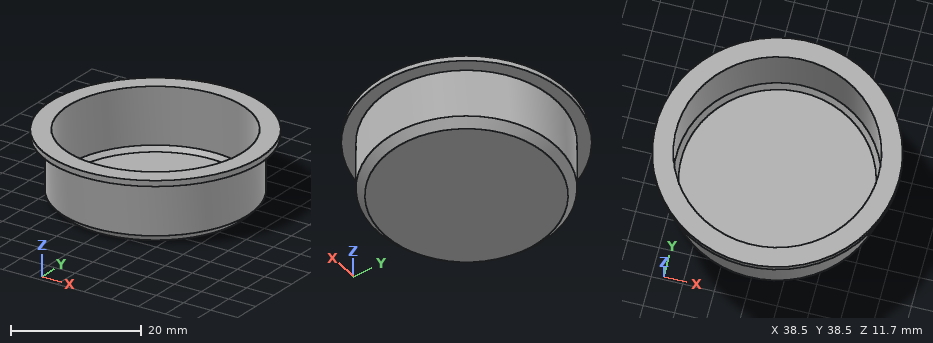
import cadquery as cq
import math

flange_diameter = 38.5
body_diameter = 34.0
total_height = 11.7
wall = 1.0
outer_chamfer = 1.4

cavity_diameter = body_diameter - 2 * wall
cavity_chamfer = outer_chamfer - wall * (2 - math.sqrt(2))


def chamfered_disc(diameter, bottom, chamfer):
    """Disc from the bottom height up to the rim, chamfered around its lower edge."""
    disc = cq.Workplane("XY").workplane(offset=bottom).circle(diameter / 2).extrude(total_height - bottom)
    return disc.faces("<Z").edges().chamfer(chamfer)


body = chamfered_disc(body_diameter, 0, outer_chamfer)
flange = cq.Workplane("XY").workplane(offset=total_height - wall).circle(flange_diameter / 2).extrude(wall)

cavity = chamfered_disc(cavity_diameter, wall, cavity_chamfer)

result = body.union(flange).cut(cavity)